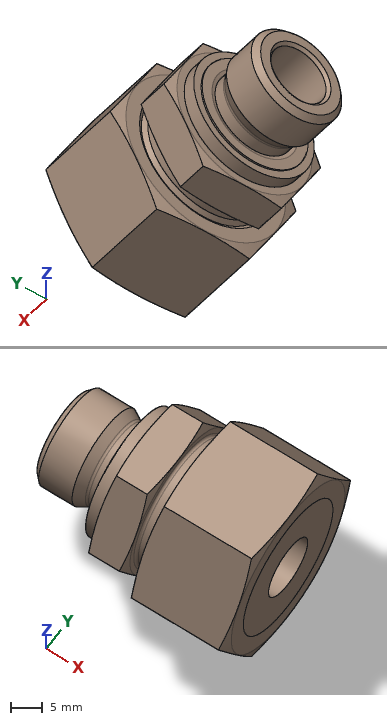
import cadquery as cq
import math


THREAD_END_X = 7.45
SEAL_FACE_X = 11.75
COLLAR_FACE_X = 12.03
STUD_HEX_X = 14.5
GROOVE_START_X = 21.5
GROOVE_END_X = 24.05
NUT_FACE_X = 24.5
LENGTH = 42.5

THREAD_RADIUS = 9.0
TIP_CHAMFER = 1.05
NECK_RADIUS = 7.8
RUNOUT_ANGLE = 30.0
RUNOUT_FILLET = 1.0
COLLAR_RADIUS = 12.0
GROOVE_RADIUS = 11.85
GROOVE_FILLET = 0.5
SHANK_RADIUS = 12.55
SHANK_CHAMFER_ANGLE = 30.0
BORE_RADIUS = 5.5
BORE_MOUTH_RADIUS = 6.05
BORE_CHAMFER_ANGLE = 45.0

SEAL_RADIUS = 10.55
SEAL_THICKNESS = 1.5
SEAL_BACK_X = SEAL_FACE_X + SEAL_THICKNESS
SEAL_MOUTH_RADIUS = 8.6
SEAL_BEVEL_ANGLE = 75.0

NUT_MOUTH_RADIUS = 13.18
NUT_COUNTERSINK_ANGLE = 60.0

STUD_HEX_FLATS = 27.0
STUD_HEX_FACE_RADIUS = 13.45
NUT_HEX_FLATS = 32.0
NUT_HEX_FACE_RADIUS = 15.9
HEX_CHAMFER_ANGLE = 15.0


def cylinder(start, end, radius):
    """Solid cylinder along X."""
    return cq.Workplane("YZ", origin=(start, 0, 0)).circle(radius).extrude(end - start)


def chamfered_hexagon(start, end, flats, face_radius):
    """Hexagonal prism along X, its corners at +Y and -Y, with its corners coned at both ends."""
    corner_radius = flats / math.sqrt(3)
    drop = (corner_radius - face_radius) * math.tan(math.radians(HEX_CHAMFER_ANGLE))
    prism = (
        cq.Workplane("YZ", origin=(start, 0, 0))
        .polygon(6, 2 * corner_radius)
        .extrude(end - start)
    )
    envelope = (
        cq.Workplane("XY")
        .moveTo(start, 0)
        .lineTo(start, face_radius)
        .lineTo(start + drop, corner_radius)
        .lineTo(end - drop, corner_radius)
        .lineTo(end, face_radius)
        .lineTo(end, 0)
        .close()
        .revolve(360, (0, 0, 0), (1, 0, 0))
    )
    return prism.intersect(envelope)


def turned_stud():
    """Solid of revolution with the thread, neck, collar, groove and shank of the stud."""
    slope = math.radians(RUNOUT_ANGLE)
    runout_corner_x = THREAD_END_X + (THREAD_RADIUS - NECK_RADIUS) / math.tan(slope)
    tangent_length = RUNOUT_FILLET * math.tan(slope / 2)
    cone_tangent = (
        runout_corner_x - tangent_length * math.cos(slope),
        NECK_RADIUS + tangent_length * math.sin(slope),
    )
    neck_tangent_x = runout_corner_x + tangent_length
    fillet_middle = (
        neck_tangent_x - RUNOUT_FILLET * math.sin(slope / 2),
        NECK_RADIUS + RUNOUT_FILLET * (1 - math.cos(slope / 2)),
    )
    shank_chamfer_slope = math.tan(math.radians(SHANK_CHAMFER_ANGLE))
    shank_start_x = GROOVE_END_X + (SHANK_RADIUS - GROOVE_RADIUS) / shank_chamfer_slope
    groove_fillet_middle = (
        GROOVE_START_X + GROOVE_FILLET * (1 - math.sqrt(0.5)),
        GROOVE_RADIUS + GROOVE_FILLET * (1 - math.sqrt(0.5)),
    )
    return (
        cq.Workplane("XY")
        .lineTo(0, THREAD_RADIUS - TIP_CHAMFER)
        .lineTo(TIP_CHAMFER, THREAD_RADIUS)
        .lineTo(THREAD_END_X, THREAD_RADIUS)
        .lineTo(*cone_tangent)
        .threePointArc(fillet_middle, (neck_tangent_x, NECK_RADIUS))
        .lineTo(COLLAR_FACE_X, NECK_RADIUS)
        .lineTo(COLLAR_FACE_X, COLLAR_RADIUS)
        .lineTo(STUD_HEX_X, COLLAR_RADIUS)
        .lineTo(STUD_HEX_X, GROOVE_RADIUS + GROOVE_FILLET)
        .lineTo(GROOVE_START_X, GROOVE_RADIUS + GROOVE_FILLET)
        .threePointArc(groove_fillet_middle, (GROOVE_START_X + GROOVE_FILLET, GROOVE_RADIUS))
        .lineTo(GROOVE_END_X, GROOVE_RADIUS)
        .lineTo(shank_start_x, SHANK_RADIUS)
        .lineTo(LENGTH, SHANK_RADIUS)
        .lineTo(LENGTH, 0)
        .close()
        .revolve(360, (0, 0, 0), (1, 0, 0))
    )


def flared_bore(start, end, mouth_radius, radius, flare_angle):
    """Cutter for a straight bore along X with a conical mouth at its start."""
    flare_depth = (mouth_radius - radius) / math.tan(math.radians(flare_angle))
    return (
        cq.Workplane("XY")
        .moveTo(start, 0)
        .lineTo(start, mouth_radius)
        .lineTo(start + flare_depth, radius)
        .lineTo(end, radius)
        .lineTo(end, 0)
        .close()
        .revolve(360, (0, 0, 0), (1, 0, 0))
    )


def make_stud():
    """Turned body with a hexagon, a recess for the seal in its collar and a through bore."""
    hexagon = chamfered_hexagon(STUD_HEX_X, GROOVE_START_X, STUD_HEX_FLATS, STUD_HEX_FACE_RADIUS)
    seal_recess = (
        cylinder(COLLAR_FACE_X, SEAL_BACK_X, SEAL_RADIUS)
        .cut(cylinder(COLLAR_FACE_X, SEAL_BACK_X, NECK_RADIUS))
    )
    bore = flared_bore(0, LENGTH, BORE_MOUTH_RADIUS, BORE_RADIUS, BORE_CHAMFER_ANGLE)
    return turned_stud().union(hexagon).cut(seal_recess).cut(bore)


def make_sealing_ring():
    """Flat ring around the neck, seated in the collar and standing slightly proud of it."""
    bore = flared_bore(SEAL_FACE_X, SEAL_BACK_X, SEAL_MOUTH_RADIUS, NECK_RADIUS, SEAL_BEVEL_ANGLE)
    return cylinder(SEAL_FACE_X, SEAL_BACK_X, SEAL_RADIUS).cut(bore)


def make_union_nut():
    """Hexagonal nut around the shank, countersunk at its mouth."""
    hexagon = chamfered_hexagon(NUT_FACE_X, LENGTH, NUT_HEX_FLATS, NUT_HEX_FACE_RADIUS)
    bore = flared_bore(NUT_FACE_X, LENGTH, NUT_MOUTH_RADIUS, SHANK_RADIUS, NUT_COUNTERSINK_ANGLE)
    return hexagon.cut(bore)


stud = make_stud()
sealing_ring = make_sealing_ring()
union_nut = make_union_nut()

result = cq.Compound.makeCompound([stud.val(), sealing_ring.val(), union_nut.val()])